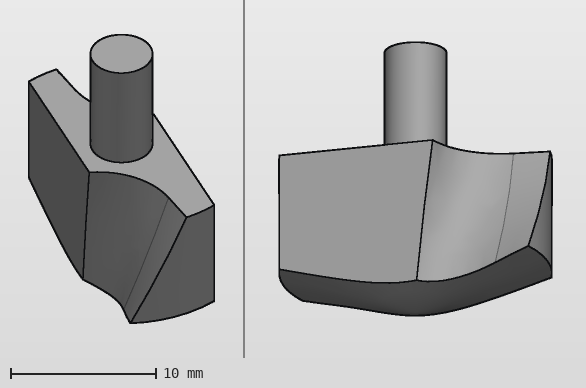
import cadquery as cq
import math

total_height = 19.1
shank_diameter = 4.3
head_diameter = 18.8
head_thickness = 6.57
head_top = 11.27
cone_height = 2.86

flute_radius = 5.54
flute_center_x = 7.47
flute_center_y = -4.81
land_angle = 7.0
flute_twist = 33.2
flute_reach = 11.46


def make_head():
    """Cylinder with a conical tip, trimmed to a slab of constant thickness."""
    radius = head_diameter / 2
    body = (
        cq.Workplane("XZ")
        .polyline([(0, 0), (radius, cone_height), (radius, head_top), (0, head_top)])
        .close()
        .revolve(360, (0, 0), (0, 1))
    )
    slab = cq.Workplane("XY").box(
        head_diameter, head_thickness, head_top, centered=(True, True, False)
    )
    return body.intersect(slab)


def make_flute_cutter():
    """Twisted cutter: a round gullet running tangentially into a straight flank."""
    def arc_point(degrees):
        angle = math.radians(degrees)
        return (
            flute_center_x + flute_radius * math.cos(angle),
            flute_center_y + flute_radius * math.sin(angle),
        )

    arc_start_angle = 180.0
    arc_end_angle = 90.0 + land_angle
    arc_start = arc_point(arc_start_angle)
    arc_middle = arc_point((arc_start_angle + arc_end_angle) / 2)
    arc_end = arc_point(arc_end_angle)
    flank_rise = (flute_reach - arc_end[0]) * math.tan(math.radians(land_angle))

    return (
        cq.Workplane("XY")
        .transformed(rotate=(0, 0, -flute_twist))
        .moveTo(*arc_start)
        .threePointArc(arc_middle, arc_end)
        .lineTo(flute_reach, arc_end[1] + flank_rise)
        .lineTo(flute_reach, -flute_reach)
        .lineTo(arc_start[0], -flute_reach)
        .close()
        .twistExtrude(head_top, flute_twist)
    )


head = make_head()
flute_cutter = make_flute_cutter()
for flute_angle in (0, 180):
    head = head.cut(flute_cutter.rotate((0, 0, 0), (0, 0, 1), flute_angle))

shank = (
    cq.Workplane("XY")
    .workplane(offset=head_top)
    .circle(shank_diameter / 2)
    .extrude(total_height - head_top)
)

result = head.union(shank)